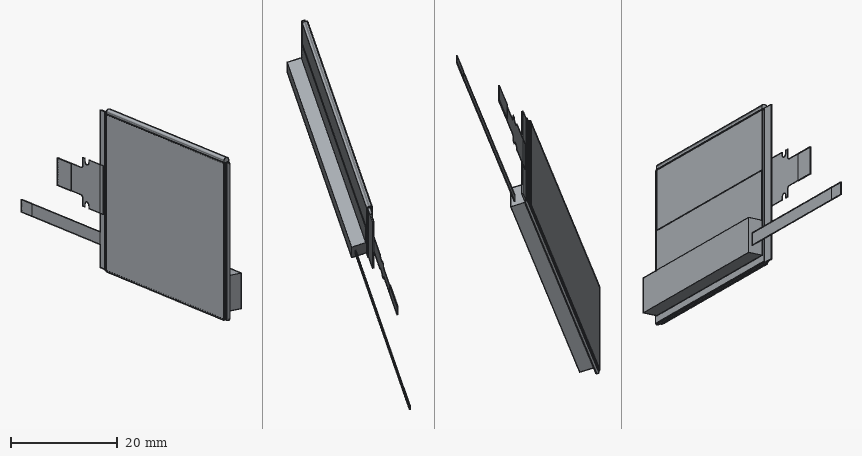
import cadquery as cq

overall_length = 70.8
overall_depth = 4.1
overall_height = 31.9
panel_height = 30.95

cover_left = 32.1
cover_right = 70.25
cover_thickness = 0.105

film_thickness = 0.105
fold_radius = 0.5
fold_flat = 0.09
film_front = cover_thickness
film_back = film_front + 2 * fold_radius + fold_flat
display_front = film_front + film_thickness
display_back = film_back - film_thickness

base_glass_left = 29.3
top_glass_left = 31.0
polarizer_left = 31.5
front_polarizer_right = 70.5
polarizer_inset = 0.2
front_polarizer_back = 0.4
top_glass_back = 0.65
base_glass_back = 0.9

tail_left = 15.65
tail_tip_length = 4.45
tail_shoulder = 23.7
tail_right = 30.4
tail_center_z = panel_height / 2
tail_neck_width = 5.4
tail_width = 9.55
tail_thickness = 0.1
tail_tip_thickness = 0.2
neck_fillet = 0.6
corner_reach = 0.1
notch_width = 1.3
notch_depth = 1.1
notch_center = 25.1

box_bottom = 1.55
box_top = 8.6
lip_top = 18.55
lip_thickness = 0.15

strap_bottom = 3.1
strap_width = 2.5
strap_front = 3.25
strap_thickness = 0.15
strap_tip_length = 3.55
strap_tip_thickness = 0.18


def block(x_range, y_range, z_range):
    """Box between the given limits on each axis."""
    (x0, x1), (y0, y1), (z0, z1) = x_range, y_range, z_range
    return cq.Workplane("XY").box(x1 - x0, y1 - y0, z1 - z0, centered=False).translate((x0, y0, z0))


def make_cover():
    """Thin sheet over the front of the light guide."""
    return block((cover_left, cover_right), (0, cover_thickness), (0, panel_height))


def make_light_guide():
    """Front and rear sheets joined by a solid fold with rounded upper edges."""
    width = (cover_left, cover_right)
    front_sheet = block(width, (film_front, display_front), (0, panel_height))
    rear_sheet = block(width, (display_back, film_back), (box_bottom, panel_height))
    fold = block(width, (film_front, film_back), (panel_height, overall_height))
    fold = fold.edges("|X and >Z").fillet(fold_radius)
    return fold.union(front_sheet).union(rear_sheet)


def make_display():
    """Glass with a contact ledge on the left and an inset polarizer on each face."""
    full_z = (0, panel_height)
    inset_z = (polarizer_inset, panel_height - polarizer_inset)
    base_glass = block((base_glass_left, overall_length), (top_glass_back, base_glass_back), full_z)
    top_glass = block((top_glass_left, overall_length), (front_polarizer_back, top_glass_back), full_z)
    front_polarizer = block(
        (polarizer_left, front_polarizer_right), (display_front, front_polarizer_back), inset_z
    )
    rear_polarizer = block((polarizer_left, overall_length), (base_glass_back, display_back), inset_z)
    return base_glass.union(top_glass).union(front_polarizer).union(rear_polarizer)


def make_tail():
    """Flat tail bonded to the ledge: narrow neck, two round-bottomed notches and a thicker tip."""
    back = top_glass_back
    front = back - tail_thickness
    neck_z = (tail_center_z - tail_neck_width / 2, tail_center_z + tail_neck_width / 2)
    wide_z = (tail_center_z - tail_width / 2, tail_center_z + tail_width / 2)
    neck = block((tail_left, tail_shoulder), (front, back), neck_z)
    wide = block((tail_shoulder, tail_right), (front, back), wide_z)
    tail = neck.union(wide)
    inner_corners = cq.selectors.BoxSelector(
        (tail_shoulder - corner_reach, front - corner_reach, neck_z[0] - corner_reach),
        (tail_shoulder + corner_reach, back + corner_reach, neck_z[1] + corner_reach),
    )
    tail = tail.edges("|Y").edges(inner_corners).fillet(neck_fillet)
    tip = block((tail_left, tail_left + tail_tip_length), (back - tail_tip_thickness, back), neck_z)
    tail = tail.union(tip)
    notches = (
        cq.Workplane("XZ", origin=(0, back, 0))
        .pushPoints([(notch_center, z) for z in wide_z])
        .slot2D(2 * notch_depth, notch_width, 90)
        .extrude(tail_thickness)
    )
    return tail.cut(notches)


def make_light_box():
    """Block behind the light guide with a thin lip rising along the rear sheet."""
    body = block((cover_left, cover_right), (film_back, overall_depth), (box_bottom, box_top))
    lip = block((cover_left, cover_right), (film_back, film_back + lip_thickness), (box_top, lip_top))
    return body.union(lip)


def make_strap():
    """Flat strap ending on the side of the light box, thicker at its free tip."""
    back = strap_front + strap_thickness
    z_range = (strap_bottom, strap_bottom + strap_width)
    strip = block((0, cover_left), (strap_front, back), z_range)
    tip = block((0, strap_tip_length), (back - strap_tip_thickness, back), z_range)
    return strip.union(tip)


cover = make_cover()
light_guide = make_light_guide()
display = make_display()
tail = make_tail()
light_box = make_light_box()
strap = make_strap()

result = cq.Compound.makeCompound(
    [cover.val(), light_guide.val(), display.val(), tail.val(), light_box.val(), strap.val()]
)